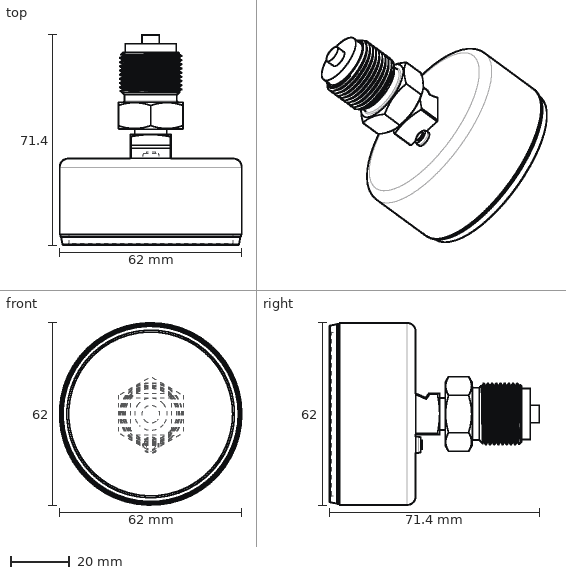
import cadquery as cq
import math


overall_length = 71.4
case_front = 3.65
case_back = 29.4
stem_shoulder = 37.6
hex_front = 39.4
hex_back = 48.55
thread_start = 51.0
thread_end = 65.5
collar_end = 68.4

case_diameter = 62.0
case_fillet = 3.0

bezel_front_diameter = 59.55
bezel_edge_diameter = 60.1
bezel_edge_depth = 0.3
bezel_cone_diameter = 61.05
bezel_cone_end = 2.65
bezel_band_diameter = 61.5
bezel_band_start = 3.0
opening_diameter = 55.7
opening_chamfer = 0.65

block_width = 14.0
block_edge_chamfer = 0.35
block_end_diameter = 13.15
block_end_angle = 15.0
neck_diameter = 11.0
notch_top = 33.85
notch_bottom = 32.85
notch_depth = 1.5

hex_across_flats = 22.0
hex_end_diameter = 21.4
hex_sides = 6
hex_half_angle = 180 / hex_sides
hex_chamfer_angle = 30.0
undercut_diameter = 17.85
undercut_fillet = 0.4
thread_diameter = 21.0
thread_root_diameter = 19.3
thread_end_diameter = 18.7
thread_turns = 10.2
thread_crest_width = 0.1
thread_root_width = 0.2
collar_diameter = 17.4
pilot_diameter = 6.0

ridge_run_in = 2.35
ridge_run_out = 1.8
ridge_root_depth = 0.15
envelope_clearance = 0.6

screw_z = -10.5
screw_diameter = 5.6
screw_rim_height = 0.85
screw_dome_diameter = 5.0
screw_dome_height = 1.7
screw_tip_diameter = 3.15
screw_height = 2.2


def revolved(profile):
    """Solid of revolution about the Y axis from a closed (radius, y) outline."""
    return profile.close().revolve(360, (0, 0, 0), (0, 1, 0))


def cylinder(diameter, start, end):
    """Cylinder on the Y axis between two Y positions."""
    radius = diameter / 2
    return revolved(cq.Workplane("XY").polyline([(0, start), (radius, start), (radius, end), (0, end)]))


def make_case():
    case = cylinder(case_diameter, case_front, case_back)
    return case.faces(">Y").edges().fillet(case_fillet)


def make_bezel():
    opening_radius = opening_diameter / 2
    outline = [
        (opening_radius + opening_chamfer, 0),
        (bezel_front_diameter / 2, 0),
        (bezel_edge_diameter / 2, bezel_edge_depth),
        (bezel_cone_diameter / 2, bezel_cone_end),
        (bezel_band_diameter / 2, bezel_band_start),
        (bezel_band_diameter / 2, case_front),
        (opening_radius, case_front),
        (opening_radius, opening_chamfer),
    ]
    return revolved(cq.Workplane("XY").polyline(outline))


def make_window():
    return cylinder(opening_diameter, opening_chamfer, case_front)


def make_stem():
    half = block_width / 2
    outline = [
        (case_back, -half),
        (stem_shoulder, -half),
        (stem_shoulder, half),
        (notch_top, half),
        (notch_bottom, half - notch_depth),
        (case_back, half),
    ]
    block = cq.Workplane("YZ").polyline(outline).close().extrude(half, both=True)
    block = block.faces("<X or >X").edges("not |Z").chamfer(block_edge_chamfer)

    reach = block_width
    cone_drop = (reach - block_end_diameter / 2) * math.tan(math.radians(block_end_angle))
    envelope = revolved(
        cq.Workplane("XY").polyline(
            [
                (0, case_back),
                (reach, case_back),
                (reach, stem_shoulder - cone_drop),
                (block_end_diameter / 2, stem_shoulder),
                (0, stem_shoulder),
            ]
        )
    )
    neck = cylinder(neck_diameter, stem_shoulder, hex_front)
    return block.intersect(envelope).union(neck)


def make_hexagon():
    corner_diameter = hex_across_flats / math.cos(math.radians(hex_half_angle))
    prism = (
        cq.Workplane("XZ", origin=(0, hex_front, 0))
        .polygon(hex_sides, corner_diameter)
        .extrude(hex_front - hex_back)
        .rotate((0, 0, 0), (0, 1, 0), hex_half_angle)
    )
    corner_radius = corner_diameter / 2
    end_radius = hex_end_diameter / 2
    chamfer = (corner_radius - end_radius) * math.tan(math.radians(hex_chamfer_angle))
    envelope = revolved(
        cq.Workplane("XY").polyline(
            [
                (0, hex_front),
                (end_radius, hex_front),
                (corner_radius, hex_front + chamfer),
                (corner_radius, hex_back - chamfer),
                (end_radius, hex_back),
                (0, hex_back),
            ]
        )
    )
    return prism.intersect(envelope)


def make_shank():
    """Undercut, collar and pilot, which the threaded length joins together."""
    undercut_radius = undercut_diameter / 2
    neck = revolved(
        cq.Workplane("XY")
        .moveTo(0, hex_back)
        .lineTo(undercut_radius + undercut_fillet, hex_back)
        .radiusArc((undercut_radius, hex_back + undercut_fillet), undercut_fillet)
        .lineTo(undercut_radius, thread_start)
        .lineTo(0, thread_start)
    )
    collar = cylinder(collar_diameter, thread_end, collar_end)
    pilot = cylinder(pilot_diameter, collar_end, overall_length)
    return neck.union(collar).union(pilot)


def make_thread():
    """Threaded length, turned down by a 45-degree cone at each end."""
    core = cylinder(thread_root_diameter, thread_start - ridge_run_in, thread_end + ridge_run_out)
    radius = thread_diameter / 2 + envelope_clearance
    start_radius = undercut_diameter / 2
    end_radius = thread_end_diameter / 2
    envelope = revolved(
        cq.Workplane("XY").polyline(
            [
                (0, thread_start),
                (start_radius, thread_start),
                (radius, thread_start + radius - start_radius),
                (radius, thread_end - radius + end_radius),
                (end_radius, thread_end),
                (0, thread_end),
            ]
        )
    )
    return core.union(make_thread_ridge()).intersect(envelope)


def make_thread_ridge():
    """Right-handed helical ridge that runs past both ends of the thread."""
    pitch = (thread_end - thread_start) / thread_turns
    root_radius = thread_root_diameter / 2 - ridge_root_depth
    crest_radius = thread_diameter / 2
    half_crest = thread_crest_width / 2
    half_base = (pitch - thread_root_width) / 2
    ridge_start = thread_start - ridge_run_in
    ridge_length = thread_end + ridge_run_out - ridge_start
    helix = cq.Wire.makeHelix(pitch, ridge_length, root_radius)
    ridge = (
        cq.Workplane("XZ")
        .polyline(
            [
                (root_radius, -half_base),
                (crest_radius, -half_crest),
                (crest_radius, half_crest),
                (root_radius, half_base),
            ]
        )
        .close()
        .sweep(cq.Workplane(obj=helix), isFrenet=True)
    )
    return ridge.rotate((0, 0, 0), (1, 0, 0), -90).translate((0, ridge_start, 0))


def make_adapter():
    return make_hexagon().union(make_shank()).union(make_thread())


def make_screw():
    radius = screw_diameter / 2
    dome_drop = radius - screw_dome_diameter / 2
    dome_rise = screw_dome_height - screw_rim_height
    dome_radius = (dome_rise**2 + dome_drop**2) / (2 * dome_drop)
    tip_radius = screw_tip_diameter / 2
    screw = revolved(
        cq.Workplane("XY")
        .lineTo(radius, 0)
        .lineTo(radius, screw_rim_height)
        .radiusArc((screw_dome_diameter / 2, screw_dome_height), -dome_radius)
        .lineTo(tip_radius, screw_dome_height)
        .lineTo(tip_radius, screw_height)
        .lineTo(0, screw_height)
    )
    return screw.translate((0, case_back, screw_z))


case = make_case()
bezel = make_bezel()
window = make_window()
stem = make_stem()
adapter = make_adapter()
screw = make_screw()

result = cq.Compound.makeCompound(
    [case.val(), bezel.val(), window.val(), stem.val(), adapter.val(), screw.val()]
)